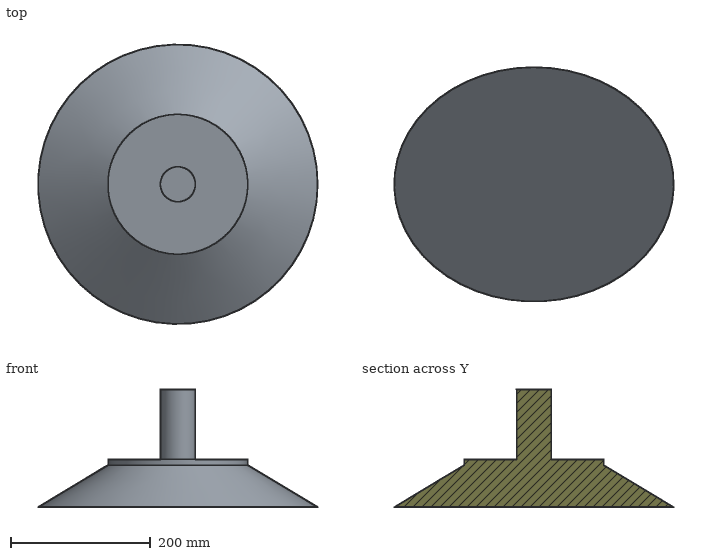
import cadquery as cq

total_height = 168.11
rim_diameter = 399.92
plate_diameter = 200.0
plate_thickness = 8.0
stem_diameter = 50.0
stem_height = 100.0

plate_top = total_height - stem_height
cone_height = plate_top - plate_thickness

rim_radius = rim_diameter / 2
plate_radius = plate_diameter / 2
stem_radius = stem_diameter / 2


def make_body():
    """Flared cone, flat plate and stem as one revolved half-profile (radius, height)."""
    profile = (
        cq.Workplane("XZ")
        .moveTo(0, 0)
        .lineTo(rim_radius, 0)
        .lineTo(plate_radius, cone_height)
        .lineTo(plate_radius, plate_top)
        .lineTo(stem_radius, plate_top)
        .lineTo(stem_radius, total_height)
        .lineTo(0, total_height)
        .close()
    )
    return profile.revolve(360, (0, 0, 0), (0, 1, 0))


result = make_body()